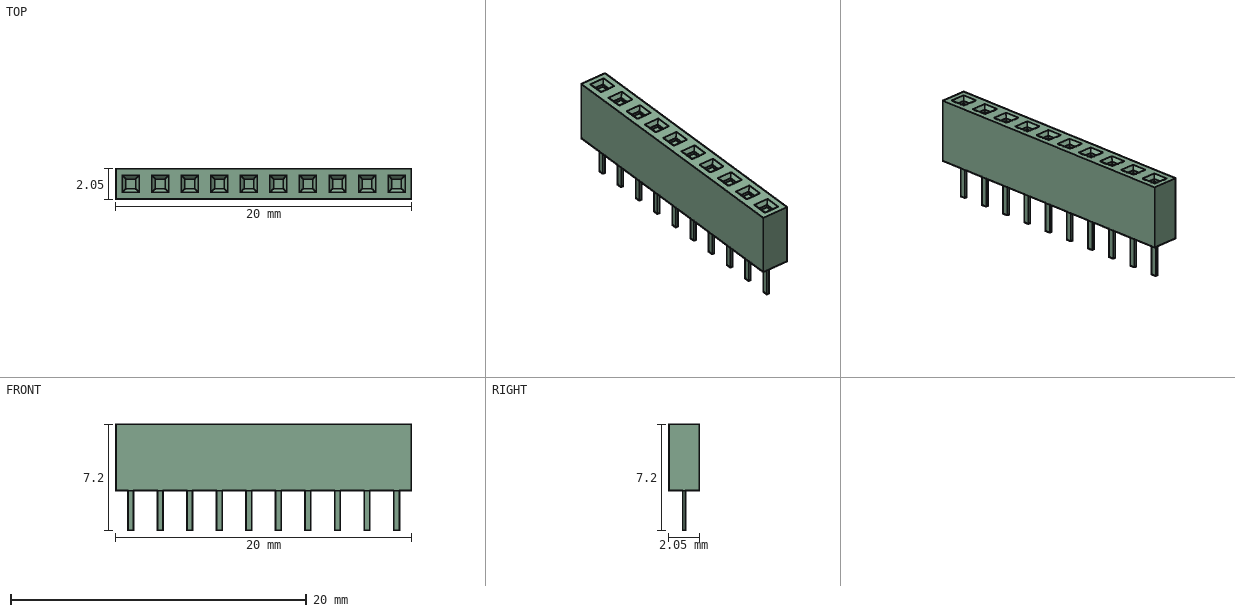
import cadquery as cq

contact_count = 10
pitch = 2.0
housing_length = contact_count * pitch
housing_width = 2.05
total_height = 7.2
pin_length = 2.7
housing_height = total_height - pin_length

pin_width = 0.4
pin_thickness = 0.2

mouth_mid_size = 0.9
mouth_flare = 0.5
mouth_size = mouth_mid_size + mouth_flare / 2
well_size = mouth_mid_size - mouth_flare / 2
mouth_depth = mouth_flare / 2
well_depth = 0.2

contact_positions = [
    ((i - (contact_count - 1) / 2) * pitch, 0) for i in range(contact_count)
]


def make_housing():
    """Plain block standing on the XY plane."""
    return cq.Workplane("XY").box(
        housing_length, housing_width, housing_height, centered=(True, True, False)
    )


def make_pins():
    """Flat pins hanging from the underside of the housing."""
    return (
        cq.Workplane("XY")
        .pushPoints(contact_positions)
        .rect(pin_width, pin_thickness)
        .extrude(-pin_length)
    )


def make_socket(x, y):
    """Solid to cut for one socket: the tapered mouth and the well under it."""
    mouth = (
        cq.Workplane("XY", origin=(x, y, housing_height))
        .rect(mouth_size, mouth_size)
        .workplane(offset=-mouth_depth)
        .rect(well_size, well_size)
        .loft()
    )
    well = (
        cq.Workplane("XY", origin=(x, y, housing_height - mouth_depth))
        .rect(well_size, well_size)
        .extrude(-well_depth)
    )
    return mouth.union(well)


result = make_housing().union(make_pins())
for x, y in contact_positions:
    result = result.cut(make_socket(x, y))